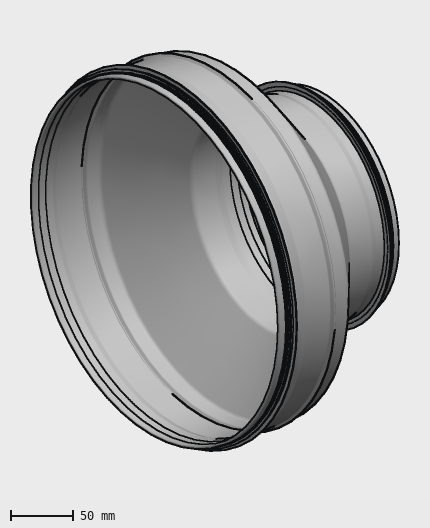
import cadquery as cq
import math


length = 174.0
wall = 0.5
wide_end = -length / 2
narrow_end = length / 2

wide_tube = 314.0 / 2
wide_neck = 309.0 / 2
narrow_tube = 198.0 / 2
narrow_neck = 194.2 / 2

wide_hem = 314.0 / 2
narrow_hem = 198.0 / 2
hem_width = 6.8

wide_neck_step = 21.7
wide_tube_start = 28.0
narrow_neck_step = 22.7
narrow_tube_start = 28.5
bead_center = 56.5
wide_cone_corner = 72.5
narrow_cone_corner = 52.5

step_bend = 2.0
cone_bend = 5.2

bead_radius = 319.5 / 2
bead_half_width = 3.0
bead_bend = 1.3

seal_end = 14.43
fin_thickness = 0.8
short_fin_start = 9.7
rim_width = 1.3
root_height = 1.3
root_width = 1.0
wide_rim = 315.5 / 2
wide_short_fin = 319.5 / 2
wide_long_fin = 324.2 / 2
narrow_rim = 199.0 / 2
narrow_short_fin = 204.3 / 2
narrow_long_fin = 209.5 / 2


def revolve_about_y(outline):
    return outline.revolve(360, (0, 0, 0), (0, 1, 0))


def unit(start, end):
    distance = math.dist(start, end)
    return ((end[0] - start[0]) / distance, (end[1] - start[1]) / distance)


def add_bend(outline, before, corner, after, radius, depth):
    """Draw to a corner moved `depth` inward across both walls, and round it with a parallel arc."""
    incoming = unit(before, corner)
    outgoing = unit(corner, after)
    cross = incoming[0] * outgoing[1] - incoming[1] * outgoing[0]
    turn = math.atan2(cross, incoming[0] * outgoing[0] + incoming[1] * outgoing[1])
    side = math.copysign(1, turn)
    center_shift = side * radius / (1 + math.cos(turn))
    center = (
        corner[0] - center_shift * (incoming[1] + outgoing[1]),
        corner[1] + center_shift * (incoming[0] + outgoing[0]),
    )
    arc_radius = radius - side * depth

    def on_arc(direction):
        return (
            center[0] + side * arc_radius * direction[1],
            center[1] - side * arc_radius * direction[0],
        )

    middle = unit((0, 0), (incoming[0] + outgoing[0], incoming[1] + outgoing[1]))
    return outline.lineTo(*on_arc(incoming)).threePointArc(on_arc(middle), on_arc(outgoing))


def sheet_path():
    """Corners of the sheet's outer surface from hem to hem, each (radius, y, bend radius)."""
    flank = math.atan2(bead_radius - wide_tube, bead_half_width)
    bead_corner = bead_radius + bead_bend * (1 / math.cos(flank) - 1)
    bead_y = wide_end + bead_center
    return [
        (wide_neck, wide_end + hem_width, 0),
        (wide_neck, wide_end + wide_neck_step, step_bend),
        (wide_tube, wide_end + wide_tube_start, step_bend),
        (wide_tube, bead_y - bead_half_width, bead_bend),
        (bead_corner, bead_y, bead_bend),
        (wide_tube, bead_y + bead_half_width, bead_bend),
        (wide_tube, wide_end + wide_cone_corner, cone_bend),
        (narrow_tube, narrow_end - narrow_cone_corner, cone_bend),
        (narrow_tube, narrow_end - narrow_tube_start, step_bend),
        (narrow_neck, narrow_end - narrow_neck_step, step_bend),
        (narrow_neck, narrow_end - hem_width, 0),
    ]


def revolved_core(depth, wide_lip, narrow_lip):
    """Solid bounded by one sheet surface, run out straight to the given lip Y positions."""
    outline = cq.Workplane("XY").moveTo(0, wide_lip).lineTo(wide_neck - depth, wide_lip)
    path = sheet_path()
    for before, corner, after in zip(path, path[1:], path[2:]):
        outline = add_bend(outline, before[:2], corner[:2], after[:2], corner[2], depth)
    outline = outline.lineTo(narrow_neck - depth, narrow_lip).lineTo(0, narrow_lip).close()
    return revolve_about_y(outline)


def make_hem(neck, hem, mouth, inward):
    """Solid collar with a rounded lip at a mouth; `inward` is the Y sign into the part."""
    bore = neck - wall
    round_radius = (hem - bore) / 2
    round_start = mouth + inward * round_radius
    inner_edge = mouth + inward * hem_width
    outline = (
        cq.Workplane("XY")
        .moveTo(0, round_start)
        .lineTo(bore, round_start)
        .threePointArc((bore + round_radius, mouth), (hem, round_start))
        .lineTo(hem, inner_edge)
        .lineTo(0, inner_edge)
        .close()
    )
    return revolve_about_y(outline)


def make_shell():
    wide = make_hem(wide_neck, wide_hem, wide_end, 1)
    narrow = make_hem(narrow_neck, narrow_hem, narrow_end, -1)
    outside = revolved_core(0, wide_end + hem_width, narrow_end - hem_width).union(wide).union(narrow)
    inside = revolved_core(wall, wide_end, narrow_end)
    return outside.cut(inside).solids()


def make_seal(neck, base, rim, short_fin, long_fin, mouth, inward):
    """Seal around a neck, against its hem; the long fin is the farther from the mouth."""
    profile = [
        (neck, hem_width),
        (rim, hem_width),
        (rim, hem_width + rim_width),
        (base, hem_width + rim_width),
        (base, short_fin_start),
        (short_fin, short_fin_start),
        (short_fin, short_fin_start + fin_thickness),
        (base, short_fin_start + fin_thickness),
        (base, seal_end - fin_thickness - root_width),
        (base + root_height, seal_end - fin_thickness),
        (long_fin, seal_end - fin_thickness),
        (long_fin, seal_end),
        (neck, seal_end),
    ]
    points = [(radius, mouth + inward * distance) for radius, distance in profile]
    return revolve_about_y(cq.Workplane("XY").polyline(points).close())


shell = make_shell()
wide_seal = make_seal(wide_neck, wide_hem, wide_rim, wide_short_fin, wide_long_fin, wide_end, 1)
narrow_seal = make_seal(
    narrow_neck, narrow_hem, narrow_rim, narrow_short_fin, narrow_long_fin, narrow_end, -1
)

result = cq.Compound.makeCompound([shell.val(), wide_seal.val(), narrow_seal.val()])